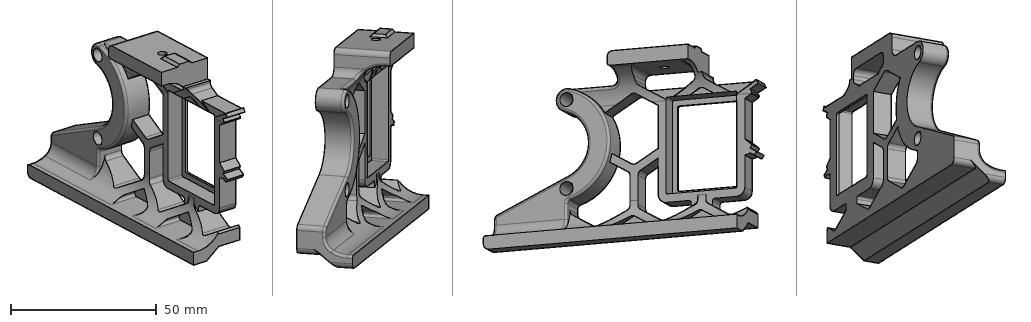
import cadquery as cq
import math

length = 96.5
depth = 20.0
web_depth = 7.0
arm_depth = 10.2
sweep_radius = 11.0
edge_round = 1.0
corner_round = 2.0

rail_length = 93.5
rail_height = 4.8
rail_back_z = 4.05
step_back = 9.1
step_front = 14.4
toe_radius = 5.0

plate_left = 45.6
plate_right = 75.4
plate_bottom = 61.0
plate_top = 66.1

hex_pitch = 25.0
strut = 3.0
hex_x = 63.0
hex_z = 19.4

ring_x = 22.5
ring_z = 36.9
ring_inner = 12.2
ring_outer = 20.3
pin_radius = 2.4
pin_x = 26.8
arm_left_z = 13.8

frame_x = 75.3
frame_width = 31.9
frame_bottom = 14.2
frame_top = 53.9
frame_corner = 3.0
wing_reach = 3.9
window_z = 34.1
window_width = 22.3
window_height = 30.0
recess_width = 25.9
recess_height = 34.05
ledge = 1.0
window_corner = 0.5
stem_width = 7.9
stem_bottom = 11.1

pocket_width = 13.9
pocket_round = 1.0
boss_left = 66.1
boss_depths = (6.85, 13.1)
boss_height = 1.0
boss_chamfer = 0.955
screw_radius = 1.5
screw_depth = 10.0

sweep_depth = web_depth + sweep_radius
low_sweep_z = rail_height + sweep_radius
high_sweep_z = plate_bottom - sweep_radius
hex_flats = hex_pitch - strut
hex_slope = math.tan(math.radians(30))
hex_corner_diameter = hex_flats / math.cos(math.radians(30))
row_step = hex_pitch * math.sin(math.radians(60))
upper_row_z = hex_z + row_step
third_row_z = upper_row_z + row_step
left_hex_x = hex_x - hex_pitch
right_hex_x = hex_x + hex_pitch
upper_hexes = (hex_x - hex_pitch / 2, hex_x + hex_pitch / 2)
arm_right = left_hex_x - hex_flats / 2
pin_offset = math.sqrt(((ring_inner + ring_outer) / 2) ** 2 - (pin_x - ring_x) ** 2)
cap_radius = (ring_outer - ring_inner) / 2
arm_top = ring_z + pin_offset + cap_radius

post_right = right_hex_x - hex_flats / 2
post_top = 58.2
shoulder_radius = 3.0
foot_round = 1.4
lattice_left = 2.4

upper_stub = [
    (frame_x, frame_top),
    (95.0, frame_top),
    (95.7, 54.6),
    (length, 53.15),
    (93.3, 51.5),
    (94.0, 50.4),
    (93.8, 49.9),
    (91.25, 48.3),
    (frame_x, 48.3),
]
lower_stub = [
    (frame_x, 34.2),
    (91.25, 34.2),
    (94.0, 31.9),
    (93.3, 30.8),
    (95.7, 29.4),
    (94.8, 28.2),
    (93.4, 29.0),
    (91.25, 28.5),
    (frame_x, 28.5),
]


def box(x0, x1, d0, d1, z0, z1):
    """Block between two X, two depths measured forward from the back face, and two Z."""
    corner = (x0, -d1, z0)
    return cq.Workplane("XY").box(x1 - x0, d1 - d0, z1 - z0, centered=False).translate(corner)


def plate(points, thickness):
    """Flat plate with an X-Z outline, standing on the back face."""
    return cq.Workplane("XZ").polyline(points).close().extrude(thickness)


def rectangle(x, z, width, height, thickness, corner):
    """Upright rectangular plate with rounded corners."""
    return cq.Workplane("XZ").center(x, z).rect(width, height).extrude(thickness).edges("|Y").fillet(corner)


def around(x, z, reach=0.8):
    """Selector for edges near an X-Z place, at any depth."""
    return cq.selectors.BoxSelector((x - reach, -depth - 1, z - reach), (x + reach, 1, z + reach))


def hexagon(x, z):
    """Through prism of one lattice opening, points up and down."""
    prism = cq.Workplane("XZ").center(x, z).transformed(rotate=(0, 0, 30))
    return prism.polygon(6, hex_corner_diameter).extrude(depth).edges("|Y").fillet(corner_round)


def on_ring(radius, angle):
    """X-Z point at an angle around the ring's centre."""
    return (ring_x + radius * math.cos(angle), ring_z + radius * math.sin(angle))


def make_section():
    """C-shaped section of rail, web and top plate, run along the full length."""
    diagonal = sweep_radius * math.sqrt(0.5)
    return (
        cq.Workplane("YZ")
        .moveTo(0, rail_back_z)
        .lineTo(-step_back, rail_back_z)
        .lineTo(-step_front, 0)
        .lineTo(-depth, 0)
        .lineTo(-depth, rail_height)
        .lineTo(-sweep_depth, rail_height)
        .threePointArc((diagonal - sweep_depth, low_sweep_z - diagonal), (-web_depth, low_sweep_z))
        .lineTo(-web_depth, high_sweep_z)
        .threePointArc((diagonal - sweep_depth, high_sweep_z + diagonal), (-sweep_depth, plate_bottom))
        .lineTo(-depth, plate_bottom)
        .lineTo(-depth, plate_top)
        .lineTo(0, plate_top)
        .close()
        .extrude(length)
    )


def make_arm_section():
    """Section of the arm: rail and sweep, blended by a tighter arc into the arm's front face."""
    centre_depth = arm_depth + toe_radius
    across = sweep_depth - centre_depth
    reach = sweep_radius - toe_radius
    centre_z = low_sweep_z - math.sqrt(reach ** 2 - across ** 2)
    meet_angle = math.atan2(centre_z - low_sweep_z, across)

    def on_toe(angle):
        return (toe_radius * math.cos(angle) - centre_depth, centre_z + toe_radius * math.sin(angle))

    def on_sweep(angle):
        return (sweep_radius * math.cos(angle) - sweep_depth, low_sweep_z + sweep_radius * math.sin(angle))

    return (
        cq.Workplane("YZ")
        .moveTo(0, rail_back_z)
        .lineTo(-step_back, rail_back_z)
        .lineTo(-step_front, 0)
        .lineTo(-depth, 0)
        .lineTo(-depth, rail_height)
        .lineTo(-sweep_depth, rail_height)
        .threePointArc(on_sweep((meet_angle - math.pi / 2) / 2), on_sweep(meet_angle))
        .threePointArc(on_toe(meet_angle / 2), on_toe(0))
        .lineTo(-arm_depth, plate_top)
        .lineTo(0, plate_top)
        .close()
        .extrude(length)
        .edges(cq.selectors.BoxSelector((-1, -depth, -1), (1, 0, rail_back_z + 0.1)))
        .edges("|Y")
        .fillet(corner_round)
    )


def make_arm():
    """Open ring with a rounded tip, running down through the sloping arm to the rail's end."""
    corner_distance = math.hypot(ring_x, ring_z - arm_left_z)
    slope = math.atan2(ring_z - arm_left_z, ring_x) - math.asin(ring_inner / corner_distance)
    tip_angle = math.atan2(pin_offset, pin_x - ring_x)
    foot_angle = -math.acos((arm_right - ring_x) / ring_outer)
    foot_x, foot_z = on_ring(ring_outer, foot_angle)
    cap_x = pin_x - cap_radius * math.sin(tip_angle)
    cap_z = ring_z + pin_offset + cap_radius * math.cos(tip_angle)
    outline = (
        cq.Workplane("XZ")
        .lineTo(0, arm_left_z)
        .lineTo(*on_ring(ring_inner, slope - math.pi / 2))
        .threePointArc(on_ring(ring_inner, 0), on_ring(ring_inner, tip_angle))
        .threePointArc((cap_x, cap_z), on_ring(ring_outer, tip_angle))
        .threePointArc(on_ring(ring_outer, 0), (foot_x, foot_z))
        .lineTo(arm_right, 0)
        .close()
        .extrude(depth)
    )
    outline = outline.edges(around(0, arm_left_z)).fillet(corner_round)
    outline = outline.edges(around(foot_x, foot_z)).fillet(foot_round)
    arm = make_arm_section().intersect(outline)
    front_of_ring = cq.selectors.NearestToPointSelector((ring_x + ring_outer, -arm_depth, ring_z))
    return arm.edges(front_of_ring).fillet(edge_round)


def make_pocket(x):
    """Pointed pocket in the rail sweep, stopping at the web."""
    half = pocket_width / 2
    peak = hex_z - row_step + hex_corner_diameter / 2
    shoulder_z = peak - half * hex_slope
    outline = [
        (x - half, rail_height),
        (x + half, rail_height),
        (x + half, shoulder_z),
        (x, peak),
        (x - half, shoulder_z),
    ]
    pocket = plate(outline, depth).edges("|Y").fillet(pocket_round)
    return pocket.intersect(box(0, length, web_depth, depth, 0, plate_top))


def make_lattice():
    """Section trimmed to the lattice outline, with the hexagons cut out."""
    sweep_middle_z = (rail_height + low_sweep_z) / 2
    outline = [
        (lattice_left, 0),
        (rail_length, 0),
        (rail_length, 8.8),
        (92.9, 9.6),
        (right_hex_x, hex_z),
        (frame_x, hex_z),
        (frame_x, upper_row_z),
        *reversed(upper_stub[1:]),
        (right_hex_x, third_row_z),
        (post_right, post_top),
        (plate_right, post_top),
        (plate_right, plate_top),
        (plate_left, plate_top),
        (plate_left, arm_top),
        (pin_x, arm_top),
        (pin_x, sweep_middle_z),
        (lattice_left, sweep_middle_z),
    ]
    trim = plate(outline, depth)
    trim = trim.edges(around(plate_left, plate_top)).fillet(corner_round)
    trim = trim.edges(around(plate_left, arm_top)).fillet(shoulder_radius)
    body = make_section().intersect(trim)
    plate_edge = cq.selectors.NearestToPointSelector((plate_left, -(sweep_depth + depth) / 2, plate_bottom))
    body = body.edges(plate_edge).fillet(edge_round)

    for x in (left_hex_x, hex_x, right_hex_x):
        body = body.cut(hexagon(x, hex_z))
    for x in upper_hexes:
        body = body.cut(hexagon(x, upper_row_z))
        body = body.cut(make_pocket(x))
    below_plate = box(0, length, 0, depth, 0, plate_bottom)
    under_plate = hexagon(hex_x, third_row_z).intersect(below_plate)
    body = body.cut(under_plate.edges("|Y and >Z").fillet(corner_round))
    body = body.cut(hexagon(right_hex_x, third_row_z))
    ring_bore = cq.Workplane("XZ").center(ring_x, ring_z).circle(ring_inner + edge_round).extrude(depth)
    return body.cut(ring_bore)


def make_frame():
    """Rectangular frame with its wing, stem and the two strut stubs."""
    left = frame_x - frame_width / 2
    right = frame_x + frame_width / 2
    stem_x = upper_hexes[1]
    frame = box(left, right, 0, web_depth, frame_bottom, frame_top)
    frame = frame.edges("|Y and <Z").fillet(frame_corner)
    wing_left = [(left, frame_top), (left - wing_reach, frame_top), (left, frame_top - wing_reach * hex_slope)]
    for outline in (wing_left, upper_stub, lower_stub):
        frame = frame.union(plate(outline, web_depth))
    stem_left = stem_x - stem_width / 2
    stem_right = stem_x + stem_width / 2
    frame = frame.union(box(stem_left, stem_right, 0, web_depth, stem_bottom, frame_bottom + 1))
    for x in (stem_left, stem_right):
        frame = frame.edges(around(x, frame_bottom)).edges("|Y").fillet(edge_round)
    return frame


def make_frame_opening():
    """Window through the frame with the larger recess in front of its rear lip."""
    window = rectangle(frame_x, window_z, window_width, window_height, depth, window_corner)
    recess = rectangle(frame_x, window_z, recess_width, recess_height, depth, window_corner)
    return window.union(recess.translate((0, -ledge, 0)))


def make_boss():
    """Low block on the plate, chamfered on all sides but the right."""
    boss = box(boss_left, plate_right, *boss_depths, plate_top, plate_top + boss_height)
    return boss.faces(">Z").edges("<X or <Y or >Y").chamfer(boss_chamfer)


result = make_lattice().union(make_frame()).cut(make_frame_opening()).union(make_arm()).union(make_boss())

for offset in (-pin_offset, pin_offset):
    pin_hole = cq.Workplane("XZ").center(pin_x, ring_z + offset).circle(pin_radius).extrude(depth)
    result = result.cut(pin_hole)

screw_hole = cq.Workplane("XY", origin=(hex_x, -screw_depth, plate_bottom)).circle(screw_radius)
result = result.cut(screw_hole.extrude(plate_top - plate_bottom))